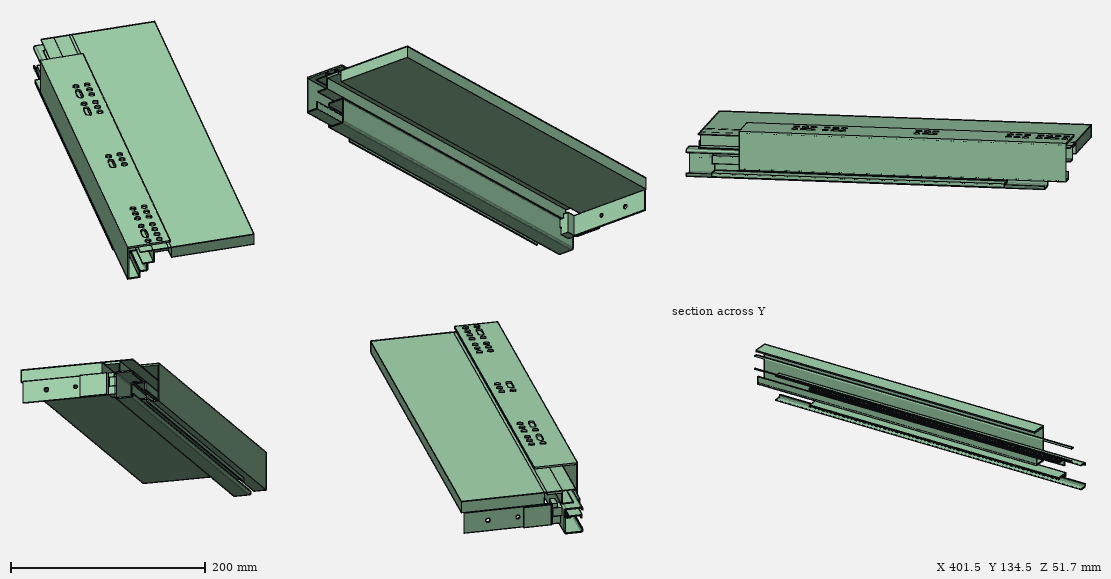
import cadquery as cq
import math


sheet_metal = 1.25

drawer_front_x = 11.6
drawer_end_x = 401.5
drawer_back_y = 134.5
drawer_top_z = 44.5
cover_thickness = 0.7
cover_front_y = 13.0
panel_front_y = 46.3
panel_bottom_z = 31.4

cabinet_start_x = 57.0
cabinet_end_x = 399.6
cabinet_top_z = 51.7
cabinet_top_thickness = 2.0
cabinet_top_width = 45.8
cabinet_bottom_z = 11.0
cabinet_hook_width = 13.4
cabinet_hook_top_z = 19.6

screw_hole_diameter = 6.0
screw_hole_pitch = 9.0
screw_row_back_y = 35.4
screw_row_front_y = 23.4
first_hole_x = 111.0
system_pitch = 32.0
slot_length = screw_hole_pitch + screw_hole_diameter

middle_start_x = 27.9
middle_end_x = 334.3
middle_wall_y = 20.5
middle_top_z = 24.2
middle_top_front_y = 4.4
middle_lip_bottom_z = 15.6
middle_bottom_z = 5.0
middle_foot_front_y = 2.2
middle_foot_bottom_z = 2.3
bead_near_y = 14.8
bead_far_y = 18.3
bead_rise = 1.2

drawer_rail_end_x = 375.4
drawer_rail_back_y = 28.2
drawer_rail_front_y = 8.3
drawer_rail_height = 28.9
drawer_rail_bend = 2.2
drawer_rail_lower_lip_z = 3.8
drawer_rail_upper_lip_z = 25.4

bracket_top_thickness = 2.5
bracket_top_back_y = 43.3
bracket_foot_front_y = 15.5
bracket_foot_thickness = 1.0

plate_front_x = 9.8
plate_near_y = 38.7
plate_far_y = 132.0
plate_bottom_z = 8.4
plate_hole_z = 20.3
plate_holes = ((106.6, 4.6), (74.9, 4.0))

latch_front_x = 7.6
latch_far_y = 69.2
latch_arm_front_x = 8.8
latch_step_z = 17.0
latch_arm_top_z = 26.7
latch_lower_gap = 1.4
latch_tab_near_y = 33.0
latch_pad_near_y = 40.0
latch_arm_far_y = 37.8
latch_arm_lead = 0.8
latch_depth = 12.0


def block(x_range, y_range, z_range):
    """Box spanning the given ranges."""
    size = [high - low for low, high in (x_range, y_range, z_range)]
    return cq.Workplane("XY").box(*size, centered=False).translate((x_range[0], y_range[0], z_range[0]))


def rail_from_outline(points, start_x, end_x):
    """Extrude a closed (y, z) outline along X."""
    return cq.Workplane("YZ", origin=(start_x, 0, 0)).polyline(points).close().extrude(end_x - start_x)


def bent_strip(path, thickness, start_x, end_x):
    """Sheet of one thickness following an open (y, z) path, material on the left of the path."""
    normals = []
    for (y0, z0), (y1, z1) in zip(path, path[1:]):
        length = math.hypot(y1 - y0, z1 - z0)
        normals.append(((z0 - z1) / length, (y1 - y0) / length))
    before = [normals[0]] + normals
    after = normals + [normals[-1]]
    offset_path = []
    for (y, z), (ay, az), (by, bz) in zip(path, before, after):
        stretch = thickness / (1 + ay * by + az * bz)
        offset_path.append((y + (ay + by) * stretch, z + (az + bz) * stretch))
    return rail_from_outline(path + offset_path[::-1], start_x, end_x)


def make_cabinet_rail():
    t = sheet_metal
    rail = rail_from_outline(
        [
            (0, cabinet_top_z),
            (0, cabinet_bottom_z),
            (cabinet_hook_width, cabinet_bottom_z),
            (cabinet_hook_width, cabinet_hook_top_z),
            (cabinet_hook_width - t, cabinet_hook_top_z),
            (cabinet_hook_width - t, cabinet_bottom_z + t),
            (t, cabinet_bottom_z + t),
            (t, cabinet_top_z - cabinet_top_thickness),
            (cabinet_top_width, cabinet_top_z - cabinet_top_thickness),
            (cabinet_top_width, cabinet_top_z),
        ],
        cabinet_start_x,
        cabinet_end_x,
    )

    def group_x(system_step, hole):
        return first_hole_x + system_step * system_pitch + hole * screw_hole_pitch

    groups = ((0, 3), (1, 3), (4, 3), (7, 3), (8, 4))
    all_round_group = 7
    slotted_holes = (1, 2)
    holes = []
    slots = []
    for step, count in groups:
        holes += [(group_x(step, hole), screw_row_back_y) for hole in range(count)]
        if step == all_round_group:
            holes += [(group_x(step, hole), screw_row_front_y) for hole in range(count)]
        else:
            single_holes = [hole for hole in range(count) if hole not in slotted_holes]
            holes += [(group_x(step, hole), screw_row_front_y) for hole in single_holes]
            slots.append((group_x(step, sum(slotted_holes) / 2), screw_row_front_y))
    top = cq.Workplane("XY", origin=(0, 0, cabinet_top_z))
    depth = cabinet_top_thickness
    round_holes = top.pushPoints(holes).circle(screw_hole_diameter / 2).extrude(-depth)
    long_holes = top.pushPoints(slots).slot2D(slot_length, screw_hole_diameter).extrude(-depth)
    return rail.cut(round_holes).cut(long_holes)


def make_middle_rail():
    path = [
        (middle_top_front_y, middle_lip_bottom_z),
        (middle_top_front_y, middle_top_z),
        (bead_near_y, middle_top_z),
        (bead_near_y, middle_top_z + bead_rise),
        (bead_far_y, middle_top_z + bead_rise),
        (bead_far_y, middle_top_z),
        (middle_wall_y, middle_top_z),
        (middle_wall_y, middle_bottom_z),
        (bead_far_y, middle_bottom_z),
        (bead_far_y, middle_bottom_z - bead_rise),
        (bead_near_y, middle_bottom_z - bead_rise),
        (bead_near_y, middle_bottom_z),
        (middle_foot_front_y + sheet_metal, middle_bottom_z),
        (middle_foot_front_y + sheet_metal, middle_foot_bottom_z),
    ]
    return bent_strip(path, -sheet_metal, middle_start_x, middle_end_x)


def make_drawer_rail():
    def rounded_bar(inset):
        y_range = (drawer_rail_front_y + inset, drawer_rail_back_y - inset)
        z_range = (inset, drawer_rail_height - inset)
        bar = block((0, drawer_rail_end_x), y_range, z_range)
        return bar.edges("|X").fillet(drawer_rail_bend - inset)

    opening = block(
        (0, drawer_rail_end_x),
        (drawer_rail_front_y, drawer_rail_front_y + sheet_metal),
        (drawer_rail_lower_lip_z, drawer_rail_upper_lip_z),
    )
    return rounded_bar(0).cut(rounded_bar(sheet_metal)).cut(opening)


def make_bracket():
    foot_top_z = drawer_rail_height + bracket_foot_thickness
    top_z = drawer_top_z - cover_thickness
    wall_y = drawer_rail_back_y - sheet_metal
    return rail_from_outline(
        [
            (bracket_foot_front_y, drawer_rail_height),
            (drawer_rail_back_y, drawer_rail_height),
            (drawer_rail_back_y, top_z - bracket_top_thickness),
            (bracket_top_back_y, top_z - bracket_top_thickness),
            (bracket_top_back_y, top_z),
            (wall_y, top_z),
            (wall_y, foot_top_z),
            (bracket_foot_front_y, foot_top_z),
        ],
        drawer_front_x,
        drawer_end_x,
    )


def make_drawer_panel():
    return block(
        (drawer_front_x, drawer_end_x),
        (panel_front_y, drawer_back_y),
        (panel_bottom_z, drawer_top_z - cover_thickness),
    )


def make_cover():
    return block(
        (drawer_front_x, drawer_end_x),
        (cover_front_y, drawer_back_y),
        (drawer_top_z - cover_thickness, drawer_top_z),
    )


def make_front_plate():
    plate = block(
        (plate_front_x, drawer_front_x), (plate_near_y, plate_far_y), (plate_bottom_z, panel_bottom_z)
    )
    for hole_y, diameter in plate_holes:
        face = cq.Workplane("YZ", origin=(plate_front_x, hole_y, plate_hole_z))
        plate = plate.cut(face.circle(diameter / 2).extrude(drawer_front_x - plate_front_x))
    return plate


def make_latch():
    pad = block(
        (latch_front_x, plate_front_x), (latch_pad_near_y, latch_far_y), (plate_bottom_z, panel_bottom_z)
    )
    body_front_x = latch_arm_front_x + latch_arm_lead
    body_x = (body_front_x, body_front_x + latch_depth)
    bridge = block(
        (latch_arm_front_x, plate_front_x), (plate_near_y, latch_pad_near_y), (plate_bottom_z, panel_bottom_z)
    )
    base_near_y = drawer_rail_back_y + latch_lower_gap
    base = block(body_x, (base_near_y, plate_near_y), (plate_bottom_z, latch_step_z))
    tab = block(body_x, (latch_tab_near_y, plate_near_y), (latch_step_z, panel_bottom_z))
    arm = block(
        (latch_arm_front_x, body_x[1]), (drawer_rail_back_y, latch_arm_far_y), (latch_step_z, latch_arm_top_z)
    )
    return pad.union(bridge).union(base).union(tab).union(arm)


cabinet_rail = make_cabinet_rail()
middle_rail = make_middle_rail()
drawer_rail = make_drawer_rail()
bracket = make_bracket()
drawer_panel = make_drawer_panel()
cover = make_cover()
front_plate = make_front_plate()
latch = make_latch()

result = cq.Compound.makeCompound(
    [
        cabinet_rail.val(),
        middle_rail.val(),
        drawer_rail.val(),
        bracket.val(),
        drawer_panel.val(),
        cover.val(),
        front_plate.val(),
        latch.val(),
    ]
)